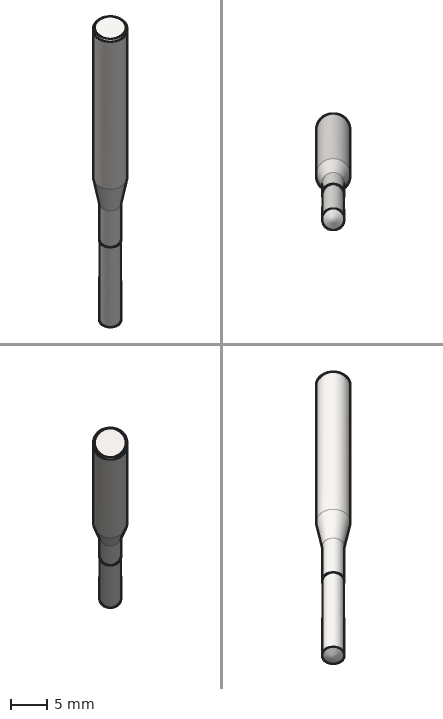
import cadquery as cq

total_length = 59.4
shank_radius = 2.4
chamfer_height = 0.35
chamfer_width = 0.25
shank_bottom_z = 29.35
neck_radius = 1.55
neck_top_z = 24.1
joint_z = 16.75
head_top_radius = 1.5
head_tip_radius = 1.55
tip_height = 0.65


def revolve_profile(points):
    """Revolve a closed (radius, height) outline around the Z axis."""
    return cq.Workplane("XZ").polyline(points).close().revolve(360, (0, 0), (0, 1))


def make_shank():
    """Chamfered shank, tapering through a cone to a slim neck."""
    return revolve_profile([
        (0, joint_z),
        (neck_radius, joint_z),
        (neck_radius, neck_top_z),
        (shank_radius, shank_bottom_z),
        (shank_radius, total_length - chamfer_height),
        (shank_radius - chamfer_width, total_length),
        (0, total_length),
    ])


def make_cutting_head():
    """Slightly tapered rod with a conical point, butted against the neck."""
    return revolve_profile([
        (0, 0),
        (head_tip_radius, tip_height),
        (head_top_radius, joint_z),
        (0, joint_z),
    ])


shank = make_shank()
cutting_head = make_cutting_head()

result = cq.Compound.makeCompound([shank.val(), cutting_head.val()])